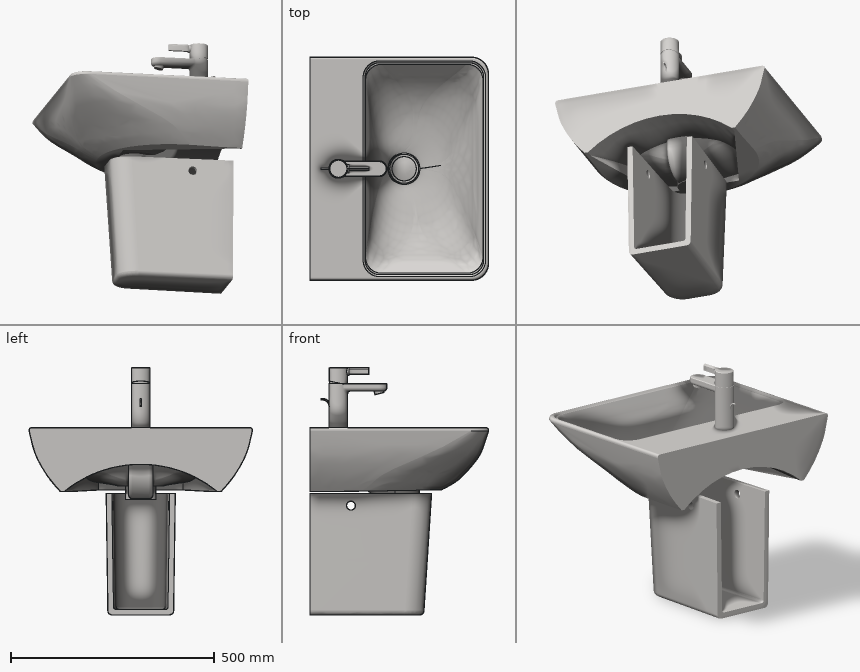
import cadquery as cq
import math

TOTAL_HEIGHT = 609.5
DECK_Z = 461.5
RIM_HEIGHT = 8.5
RIM_Z = DECK_Z - RIM_HEIGHT
RIM_FILLET = 7.0
BASIN_DEPTH = 440.0
BASIN_WIDTH = 550.0

HULL_SECTIONS = [
    (RIM_Z, BASIN_DEPTH, BASIN_WIDTH / 2, 42.5),
    (414.5, 427.0, 266.0, 97.5),
    (385.0, 412.5, 255.0, 146.0),
    (355.5, 388.0, 238.5, 189.0),
    (330.5, 362.0, 220.5, 201.0),
    (303.5, 314.0, 197.5, 189.0),
]
UNDERSIDE_START = (50.5, 303.5)
UNDERSIDE_END = (329.0, 308.5)

DRAIN_X = 232.0
BOWL_FLOOR_Z = 331.5
BOWL_SECTIONS = [
    (DECK_Z, 136.0, 428.0, 261.0, 36.5),
    (420.5, 144.5, 412.5, 231.5, 55.0),
    (385.0, 152.5, 392.5, 201.0, 73.0),
    (356.5, 164.5, 364.5, 155.5, 85.5),
    (341.5, 180.0, 338.0, 97.5, 73.0),
    (BOWL_FLOOR_Z, 192.5, 272.0, 39.5, 39.0),
]
BOWL_WALL = 14.0
BOWL_EDGE_CHAMFER = 5.0

ARCH_RADIUS = 297.5
ARCH_TOP_Z = 371.0
ARCH_LENGTH = 280.5
ARCH_WALL_HALF_WIDTH = 195.0
ARCH_END_HALF_WIDTH = 103.5

DUCT_BACK_X = 125.0
DUCT_BEND_Z = 350.5
DUCT_BEND_RADIUS = 64.0
DUCT_TOP_Z = 378.0
DUCT_WIDTH = 60.0
DUCT_FILLET = 9.0
BOSS_DIAMETER = 74.5
BOSS_BOTTOM_Z = 284.5

FLANGE_DIAMETER = 77.5
FLANGE_HEIGHT = 6.0
FLANGE_CHAMFER = 3.0
PLUG_DIAMETER = 60.0
PLUG_DOME_RISE = 5.0
FLANGE_BOTTOM_Z = BOWL_FLOOR_Z - FLANGE_HEIGHT / 2
FLANGE_TOP_Z = FLANGE_BOTTOM_Z + FLANGE_HEIGHT

PEDESTAL_HEIGHT = 299.0
PEDESTAL_TOP_DEPTH = 300.0
PEDESTAL_BOTTOM_DEPTH = 280.5
PEDESTAL_TOP_WIDTH = 170.5
PEDESTAL_BOTTOM_WIDTH = 162.0
PEDESTAL_NARROWING = 8.0
PEDESTAL_CORNER = 47.0
PEDESTAL_WALL = 14.0
PEDESTAL_FOOT_FILLET = 11.0
PEDESTAL_FLOOR_FILLET = 6.0
FIXING_HOLE_DIAMETER = 21.5
FIXING_HOLE_X = 101.0
FIXING_HOLE_Z = 269.5

FAUCET_X = 70.0
BODY_DIAMETER = 46.5
BODY_TOP_Z = 570.5
SPOUT_END_X = 189.5
SPOUT_WIDTH = 39.0
SPOUT_HEIGHT = 19.5
SPOUT_FILLET = 8.5
SPOUT_TOP_CHAMFER = 2.0
SPOUT_ROOT_FILLET = 6.0
ROOT_REACH = 1.0

AERATOR_DIAMETER = 23.0
AERATOR_X = 171.0
AERATOR_LENGTH = 13.5
AERATOR_BOTTOM_Z = 545.0
AERATOR_TILT = 14.0

CAP_DIAMETER = 46.0
CAP_NECK_DIAMETER = 44.0
CAP_CHAMFER = 2.0
CAP_GAP = 5.5
CAP_GAP_END_X = 74.5
LEVER_END_X = 145.0
LEVER_WIDTH = 9.0
LEVER_HEIGHT = 17.0
LEVER_CHAMFER = 4.0
COLLAR_DIAMETER = 20.0
COLLAR_END_X = 97.0

ROD_DIAMETER = 4.0
ROD_START_X = 28.0
ROD_BEND_X = 32.0
ROD_Z = 531.0
ROD_END_X = 49.0
ROD_END_Z = 513.0


def rounded_section(z, back, front, half_width, radius):
    """Rounded rectangle at height z."""
    return (
        cq.Sketch()
        .push([((back + front) / 2, 0)])
        .rect(front - back, 2 * half_width)
        .reset()
        .vertices()
        .fillet(radius)
        .moved(cq.Location(cq.Vector(0, 0, z)))
    )


def wall_section(z, front, half_width, radius, narrowing=0):
    """Outline from the wall plane with two rounded front corners, at height z.

    The front half width is smaller than the half width at the wall by the narrowing.
    """
    front_half = half_width - narrowing
    return (
        cq.Sketch()
        .polygon([
            (0, -half_width),
            (front, -front_half),
            (front, front_half),
            (0, half_width),
            (0, -half_width),
        ])
        .vertices(">X")
        .fillet(radius)
        .moved(cq.Location(cq.Vector(0, 0, z)))
    )


def loft(sections, ruled=False):
    return cq.Workplane().placeSketch(*sections).loft(ruled=ruled)


def cylinder(diameter, x, bottom, top):
    return cq.Workplane().workplane(offset=bottom).center(x, 0).circle(diameter / 2).extrude(top - bottom)


def bowl_shape(wall):
    """Bowl volume, grown outward and downward by the wall thickness."""
    return loft([
        rounded_section(z - wall, back - wall, front + wall, half + wall, radius + wall)
        for z, back, front, half, radius in BOWL_SECTIONS
    ])


def make_hull():
    lower = loft([wall_section(*section) for section in HULL_SECTIONS])
    rim_outline = wall_section(RIM_Z, *HULL_SECTIONS[0][1:])
    rim = cq.Workplane().placeSketch(rim_outline).extrude(RIM_HEIGHT)
    rim = rim.faces(">Z").edges("not <X").fillet(RIM_FILLET)
    return lower.union(rim)


def make_underside_relief():
    """Thin wedge below the sloping underside."""
    end_x = UNDERSIDE_END[0]
    return (
        cq.Workplane("XZ")
        .polyline([UNDERSIDE_START, UNDERSIDE_END, (end_x, UNDERSIDE_START[1])])
        .close()
        .extrude(BASIN_WIDTH, both=True)
    )


def make_arch_recess():
    """Arched tunnel from the wall, leaving the underside of the bowl standing."""
    tunnel = (
        cq.Workplane("YZ")
        .center(0, ARCH_TOP_Z - ARCH_RADIUS)
        .circle(ARCH_RADIUS)
        .extrude(ARCH_LENGTH)
    )
    flanks = (
        cq.Workplane()
        .polyline([
            (0, -ARCH_WALL_HALF_WIDTH),
            (ARCH_LENGTH, -ARCH_END_HALF_WIDTH),
            (ARCH_LENGTH, ARCH_END_HALF_WIDTH),
            (0, ARCH_WALL_HALF_WIDTH),
        ])
        .close()
        .extrude(ARCH_TOP_Z)
    )
    return tunnel.intersect(flanks).cut(bowl_shape(BOWL_WALL))


def make_overflow_duct():
    """Duct behind the bowl that bends under it to the drain boss."""
    bend_x = DUCT_BACK_X + DUCT_BEND_RADIUS
    bend_45 = DUCT_BEND_RADIUS * math.sqrt(0.5)
    duct = (
        cq.Workplane("XZ")
        .moveTo(DUCT_BACK_X, DUCT_TOP_Z)
        .lineTo(DUCT_BACK_X, DUCT_BEND_Z)
        .threePointArc(
            (bend_x - bend_45, DUCT_BEND_Z - bend_45),
            (bend_x, DUCT_BEND_Z - DUCT_BEND_RADIUS),
        )
        .lineTo(DRAIN_X, DUCT_BEND_Z - DUCT_BEND_RADIUS)
        .lineTo(DRAIN_X, DUCT_TOP_Z)
        .close()
        .extrude(DUCT_WIDTH / 2, both=True)
        .edges("(<X and |Z) or %CIRCLE")
        .fillet(DUCT_FILLET)
    )
    boss = cylinder(BOSS_DIAMETER, DRAIN_X, BOSS_BOTTOM_Z, BOWL_FLOOR_Z)
    return duct.union(boss)


def make_bowl_edge():
    """Bevel around the mouth of the bowl."""
    _, back, front, half, radius = BOWL_SECTIONS[0]
    c = BOWL_EDGE_CHAMFER
    return loft([
        rounded_section(DECK_Z - c, back, front, half, radius),
        rounded_section(DECK_Z, back - c, front + c, half + c, radius + c),
    ], ruled=True)


def make_basin():
    basin = make_hull().cut(make_underside_relief()).cut(make_arch_recess()).union(make_overflow_duct())
    basin = basin.cut(bowl_shape(0)).cut(make_bowl_edge())
    return basin.cut(cylinder(FLANGE_DIAMETER, DRAIN_X, FLANGE_BOTTOM_Z, DECK_Z))


def make_drain_flange():
    ring = cylinder(FLANGE_DIAMETER, DRAIN_X, FLANGE_BOTTOM_Z, FLANGE_TOP_Z)
    ring = ring.faces(">Z").edges().chamfer(FLANGE_CHAMFER)
    return ring.cut(cylinder(PLUG_DIAMETER, DRAIN_X, FLANGE_BOTTOM_Z, FLANGE_TOP_Z))


def make_drain_plug():
    """Disc with a domed top, seated in the flange."""
    radius = PLUG_DIAMETER / 2
    dome_radius = (radius**2 + PLUG_DOME_RISE**2) / (2 * PLUG_DOME_RISE)
    dome_top = FLANGE_TOP_Z + PLUG_DOME_RISE
    disc = cylinder(PLUG_DIAMETER, DRAIN_X, FLANGE_BOTTOM_Z, dome_top)
    dome = cq.Workplane().sphere(dome_radius).translate((DRAIN_X, 0, dome_top - dome_radius))
    return disc.intersect(dome)


def pedestal_shape(inset, bottom):
    """Tapered pedestal volume from height bottom to its top, inset all round."""
    corner = PEDESTAL_CORNER - inset
    profile = [
        (bottom, PEDESTAL_BOTTOM_DEPTH, PEDESTAL_BOTTOM_WIDTH),
        (PEDESTAL_HEIGHT, PEDESTAL_TOP_DEPTH, PEDESTAL_TOP_WIDTH),
    ]
    return loft([
        wall_section(z, depth - inset, width / 2 - inset, corner, PEDESTAL_NARROWING)
        for z, depth, width in profile
    ], ruled=True)


def make_pedestal():
    outer = pedestal_shape(0, 0)
    outer = outer.faces("<Z").edges("not <X").fillet(PEDESTAL_FOOT_FILLET)
    inner = pedestal_shape(PEDESTAL_WALL, PEDESTAL_WALL)
    inner = inner.faces("<Z").edges("not <X").fillet(PEDESTAL_FLOOR_FILLET)
    fixing_holes = (
        cq.Workplane("XZ")
        .center(FIXING_HOLE_X, FIXING_HOLE_Z)
        .circle(FIXING_HOLE_DIAMETER / 2)
        .extrude(PEDESTAL_TOP_WIDTH, both=True)
    )
    return outer.cut(inner).cut(fixing_holes)


def make_rod():
    """Bent pull rod of the drain, entering the back of the faucet."""
    path = (
        cq.Workplane("XZ")
        .moveTo(ROD_START_X, ROD_Z)
        .lineTo(ROD_BEND_X, ROD_Z)
        .tangentArcPoint((ROD_END_X, ROD_END_Z), relative=False)
    )
    profile = cq.Workplane("YZ", origin=(ROD_START_X, 0, ROD_Z)).circle(ROD_DIAMETER / 2)
    return profile.sweep(path)


def make_aerator():
    """Tilted outlet insert under the nose of the spout."""
    return (
        cq.Workplane()
        .circle(AERATOR_DIAMETER / 2)
        .extrude(AERATOR_LENGTH)
        .rotate((0, 0, 0), (0, 1, 0), -AERATOR_TILT)
        .translate((AERATOR_X, 0, AERATOR_BOTTOM_Z))
    )


def make_spout():
    half = SPOUT_WIDTH / 2
    nose_x = SPOUT_END_X - half
    return (
        cq.Workplane()
        .workplane(offset=BODY_TOP_Z - SPOUT_HEIGHT)
        .moveTo(FAUCET_X, -half)
        .lineTo(nose_x, -half)
        .threePointArc((SPOUT_END_X, 0), (nose_x, half))
        .lineTo(FAUCET_X, half)
        .close()
        .extrude(SPOUT_HEIGHT)
        .faces(">Z").edges("not <X").chamfer(SPOUT_TOP_CHAMFER)
        .faces("<Z").edges("not <X").fillet(SPOUT_FILLET)
    )


def make_faucet_body():
    column = cylinder(BODY_DIAMETER, FAUCET_X, DECK_Z, BODY_TOP_Z)
    body = column.union(make_spout())
    spout_bottom = BODY_TOP_Z - SPOUT_HEIGHT
    root = cq.selectors.BoxSelector(
        (FAUCET_X, -SPOUT_WIDTH / 2, spout_bottom - ROOT_REACH),
        (FAUCET_X + BODY_DIAMETER / 2 + ROOT_REACH, SPOUT_WIDTH / 2, spout_bottom + SPOUT_FILLET),
    )
    body = body.edges(root).fillet(SPOUT_ROOT_FILLET)
    return body.cut(make_aerator()).cut(make_rod())


def make_handle():
    """Cap with a wedge gap at its lower back edge, and the lever bar."""
    cap = cylinder(CAP_DIAMETER, FAUCET_X, BODY_TOP_Z, TOTAL_HEIGHT)
    cap = cap.faces(">Z").edges().chamfer(CAP_CHAMFER)
    back = FAUCET_X - CAP_DIAMETER / 2
    wedge = (
        cq.Workplane("XZ")
        .polyline([(back, BODY_TOP_Z), (CAP_GAP_END_X, BODY_TOP_Z), (back, BODY_TOP_Z + CAP_GAP)])
        .close()
        .extrude(CAP_DIAMETER, both=True)
        .cut(cylinder(CAP_NECK_DIAMETER, FAUCET_X, BODY_TOP_Z, TOTAL_HEIGHT))
    )
    lever_length = LEVER_END_X - FAUCET_X
    lever_z = TOTAL_HEIGHT - LEVER_HEIGHT / 2
    lever = (
        cq.Workplane()
        .box(lever_length, LEVER_WIDTH, LEVER_HEIGHT)
        .translate((FAUCET_X + lever_length / 2, 0, lever_z))
        .edges("|X and >Z").chamfer(LEVER_CHAMFER)
    )
    collar = (
        cq.Workplane("YZ", origin=(FAUCET_X, 0, lever_z - CAP_CHAMFER))
        .circle(COLLAR_DIAMETER / 2)
        .extrude(COLLAR_END_X - FAUCET_X)
    )
    return cap.cut(wedge).union(collar).union(lever)


basin = make_basin()
pedestal = make_pedestal()
drain_flange = make_drain_flange()
drain_plug = make_drain_plug()
faucet_body = make_faucet_body()
aerator = make_aerator()
handle = make_handle()
rod = make_rod()

result = cq.Compound.makeCompound([
    basin.val(),
    pedestal.val(),
    drain_flange.val(),
    drain_plug.val(),
    faucet_body.val(),
    aerator.val(),
    handle.val(),
    rod.val(),
])